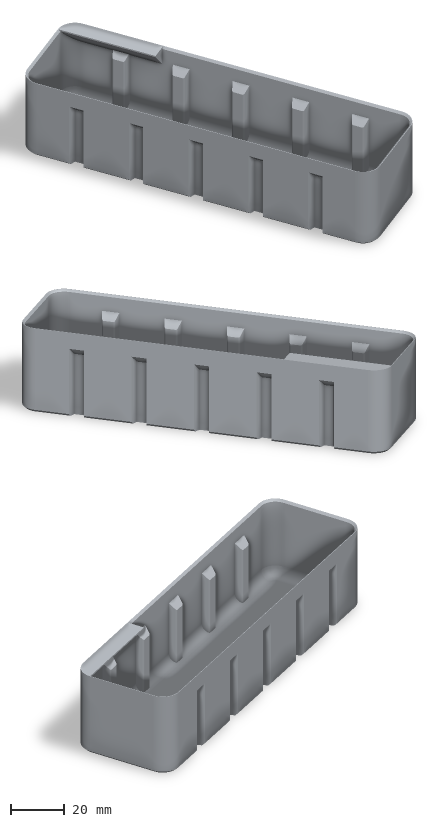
import cadquery as cq
import math

length = 144.5
width = 41.2
height = 33.7
corner_radius = 7.0
bottom_chamfer = 1.0

wall = 1.0
floor_thickness = 1.0
cavity_fillet = 4.0
rim_land = 0.2

guide_count = 5
guide_pitch = 24.5
groove_mouth_width = 5.9
groove_floor_width = 3.7
groove_depth = 3.0
groove_top = 27.2
guide_skin = 0.8

tab_length = 40.0
tab_width = 7.0
tab_lip = 0.6
tab_support_angle = 50.0

overlap = 1.0


def rounded_block(inset, bottom, top):
    """Upright block whose outline is the body outline moved inwards by inset."""
    block = cq.Workplane("XY", origin=(0, 0, bottom))
    block = block.rect(length - 2 * inset, width - 2 * inset).extrude(top - bottom)
    return block.edges("|Z").fillet(corner_radius - inset)


def make_tray():
    """Open tray with a chamfered base, a rounded cavity floor and a bevelled rim."""
    body = rounded_block(0, 0, height).faces("<Z").edges().chamfer(bottom_chamfer)
    cavity = rounded_block(wall, floor_thickness, height)
    cavity = cavity.faces("<Z").edges().fillet(cavity_fillet)
    bevel = wall - rim_land
    rim_cut = rounded_block(rim_land, height - bevel, height + overlap)
    rim_cut = rim_cut.faces("<Z").edges().chamfer(bevel)
    return body.cut(cavity).cut(rim_cut)


def guide_prism(growth):
    """Groove shape at the front wall, grown by growth on its sides, floor and sloped end."""
    outer_y = -width / 2
    floor_half = groove_floor_width / 2
    mouth_half = groove_mouth_width / 2
    side_slope = (mouth_half - floor_half) / groove_depth
    start_half = mouth_half + side_slope * overlap
    start_y = outer_y - overlap
    floor_y = outer_y + groove_depth
    outline = cq.Workplane("XY").polyline([
        (-start_half, start_y), (start_half, start_y), (floor_half, floor_y), (-floor_half, floor_y),
    ]).close()
    if growth > 0:
        outline = outline.offset2D(growth, "arc")
    prism = outline.extrude(height)

    end_height = groove_top + growth
    reach = groove_depth + 2 * overlap
    keep = cq.Workplane("YZ").polyline([
        (outer_y - reach, 0), (outer_y + reach, 0),
        (outer_y + reach, end_height - reach), (outer_y - reach, end_height + reach),
    ]).close().extrude(groove_mouth_width, both=True)
    return prism.intersect(keep)


def on_both_walls(front_guide):
    """One guide shape repeated along the front wall and mirrored to the back wall."""
    first_x = -guide_pitch * (guide_count - 1) / 2
    guides = cq.Workplane("XY")
    for index in range(guide_count):
        guide = front_guide.translate((first_x + index * guide_pitch, 0, 0))
        guides = guides.add(guide).add(guide.mirror("XZ"))
    return guides.combine()


def make_ribs():
    """Ribs, trimmed so they start within the walls and the floor."""
    rib = guide_prism(guide_skin).intersect(rounded_block(wall / 2, floor_thickness / 2, height))
    return on_both_walls(rib)


def make_grooves():
    return on_both_walls(guide_prism(0))


def make_tab():
    """Label tab, flush with the rim, on a sloped support that runs down to the back wall."""
    back_y = width / 2
    front_y = back_y - tab_width
    support_drop = (tab_width - wall) * math.tan(math.radians(tab_support_angle))
    support_bottom = height - tab_lip - support_drop
    tab = cq.Workplane("YZ", origin=(-length / 2, 0, 0)).polyline([
        (back_y, height), (front_y, height), (front_y, height - tab_lip),
        (back_y - wall, support_bottom), (back_y, support_bottom),
    ]).close().extrude(tab_length)
    return tab.intersect(rounded_block(0, 0, height))


result = make_tray().union(make_ribs()).union(make_tab()).cut(make_grooves())